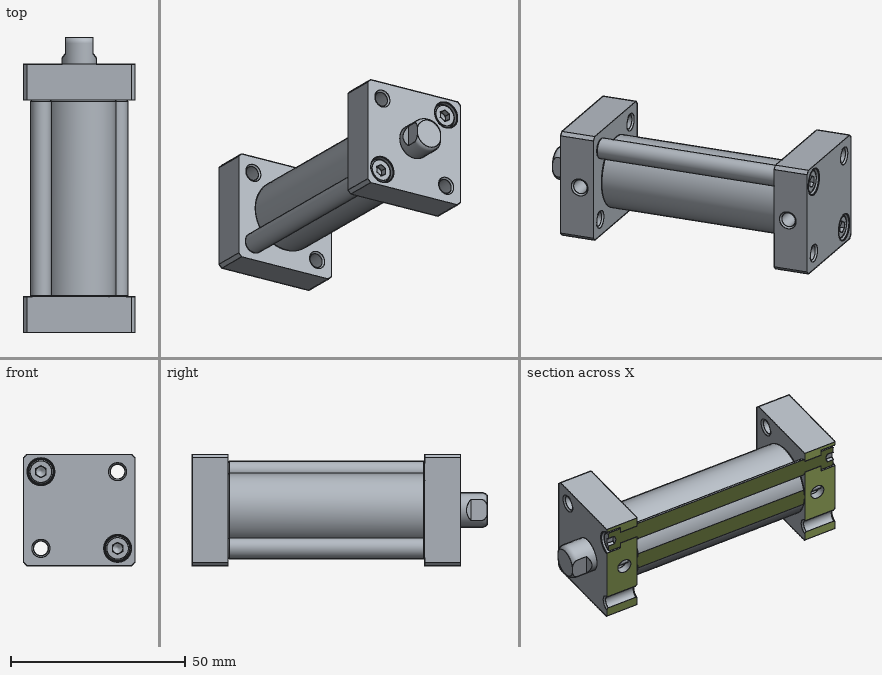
import cadquery as cq
import math

overall_length = 84.66
cap_size = 32.0
cap_thickness = 10.3
cap_corner_chamfer = 1.0

rod_diameter = 10.0
rod_flat_width = 8.0
rod_flat_start = 3.0
rod_flat_runout = 1.3
rod_straight_length = 6.0
rod_nose_length = 1.66
rod_nose_radius = 2.0

front_face = 0.0
barrel_start = front_face + cap_thickness
rear_face = overall_length - rod_straight_length - rod_nose_length
barrel_end = rear_face - cap_thickness

barrel_diameter = 21.2
shoulder_chamfer = 0.35

corner_offset = 11.0
tie_rod_places = [(-corner_offset, corner_offset), (corner_offset, -corner_offset)]
mounting_hole_places = [(-corner_offset, -corner_offset), (corner_offset, corner_offset)]

tie_diameter = 6.0
tie_neck_diameter = 4.0
head_diameter = 7.0
head_height = 4.0
head_recess = 0.6
head_edge_chamfer = 0.4
socket_width = 3.0
socket_corner_diameter = socket_width / math.cos(math.pi / 6)
socket_depth = 2.0
hexagon_turn = 30.0
drill_point_angle = 118.0

counterbore_diameter = 7.6
counterbore_depth = head_height + head_recess
counterbore_mouth_chamfer = 0.2

thread_hole_diameter = 4.2
thread_mouth_diameter = 5.2
thread_mouth_depth = (thread_mouth_diameter - thread_hole_diameter) / 2
port_from_outer_face = 6.0
port_depth = 8.0

pin_diameter = 1.8
pin_x = -cap_size / 2 + port_depth
pin_seat = 1.0
pin_end_margin = port_from_outer_face - thread_hole_diameter / 2 - pin_seat
pin_start = front_face + pin_end_margin
pin_end = rear_face - pin_end_margin


def along_y(start):
    """Workplane at the given Y facing +Y; its local axes are +X and -Z."""
    return cq.Workplane(cq.Plane(origin=(0, start, 0), xDir=(1, 0, 0), normal=(0, 1, 0)))


def cylinder_y(x, z, diameter, start, end):
    return along_y(start).center(x, -z).circle(diameter / 2).extrude(end - start)


def cone(base_centre, direction, base_diameter, tip_diameter, height):
    solid = cq.Solid.makeCone(
        base_diameter / 2, tip_diameter / 2, height, cq.Vector(*base_centre), cq.Vector(*direction)
    )
    return cq.Workplane(solid)


def drill_point(base_centre, direction, diameter):
    length = diameter / 2 / math.tan(math.radians(drill_point_angle / 2))
    return cone(base_centre, direction, diameter, 0, length)


def thread_mouth(centre, direction):
    return cone(centre, direction, thread_mouth_diameter, thread_hole_diameter, thread_mouth_depth)


def make_port(y):
    """Cutter for a drilled port entering from the -X side."""
    side = -cap_size / 2
    inward = (1, 0, 0)
    bore = (
        cq.Workplane("YZ", origin=(side, y, 0)).circle(thread_hole_diameter / 2).extrude(port_depth)
    )
    point = drill_point((side + port_depth, y, 0), inward, thread_hole_diameter)
    return bore.union(thread_mouth((side, y, 0), inward)).union(point)


def make_mounting_hole(x, z, start, end):
    """Cutter for a through hole countersunk at both ends."""
    hole = cylinder_y(x, z, thread_hole_diameter, start, end)
    hole = hole.union(thread_mouth((x, start, z), (0, 1, 0)))
    return hole.union(thread_mouth((x, end, z), (0, -1, 0)))


def make_tie_rod_hole(x, z, inner, outer, outward):
    """Cutter for a tie rod neck and its counterbored head."""
    seat = outer - outward * counterbore_depth
    mouth_diameter = counterbore_diameter + 2 * counterbore_mouth_chamfer
    neck = cylinder_y(x, z, tie_neck_diameter, inner, outer)
    counterbore = cylinder_y(x, z, counterbore_diameter, seat, outer)
    mouth = cone(
        (x, outer, z), (0, -outward, 0), mouth_diameter, counterbore_diameter, counterbore_mouth_chamfer
    )
    return neck.union(counterbore).union(mouth)


def make_pin():
    return cylinder_y(pin_x, 0, pin_diameter, pin_start, pin_end)


def make_cap(inner, outer, outward):
    """End cap between its barrel side and its outer face; outward is the sign of its outer side."""
    start = min(inner, outer)
    end = max(inner, outer)
    cap = along_y(start).rect(cap_size, cap_size).extrude(cap_thickness)
    cap = cap.edges("|Y").chamfer(cap_corner_chamfer)
    for x, z in mounting_hole_places:
        cap = cap.cut(make_mounting_hole(x, z, start, end))
    for x, z in tie_rod_places:
        cap = cap.cut(make_tie_rod_hole(x, z, inner, outer, outward))
    cap = cap.cut(make_port(outer - outward * port_from_outer_face))
    return cap.cut(make_pin())


def make_barrel():
    barrel = cylinder_y(0, 0, barrel_diameter, barrel_start, barrel_end)
    barrel = barrel.edges("%CIRCLE").chamfer(shoulder_chamfer)
    return barrel.cut(make_pin())


def make_tie_rod_head(x, z, inner, outer, outward):
    """Neck and socket head at one end of a tie rod."""
    top = outer - outward * head_recess
    seat = top - outward * head_height
    socket_floor = top - outward * socket_depth
    neck = cylinder_y(x, z, tie_neck_diameter, inner, seat)
    head = cylinder_y(x, z, head_diameter, seat, top)
    head = head.faces(">Y" if outward > 0 else "<Y").edges().chamfer(head_edge_chamfer)
    socket = (
        along_y(top).center(x, -z).transformed(rotate=(0, 0, hexagon_turn))
        .polygon(6, socket_corner_diameter).extrude(-outward * socket_depth)
    )
    point = drill_point((x, socket_floor, z), (0, -outward, 0), socket_width)
    return neck.union(head.cut(socket).cut(point))


def make_tie_rod(x, z):
    tie_rod = cylinder_y(x, z, tie_diameter, barrel_start, barrel_end)
    tie_rod = tie_rod.edges("%CIRCLE").chamfer(shoulder_chamfer)
    tie_rod = tie_rod.union(make_tie_rod_head(x, z, barrel_start, front_face, -1))
    return tie_rod.union(make_tie_rod_head(x, z, barrel_end, rear_face, 1))


def make_piston_rod():
    """Rod from the barrel through the rear cap, with a rounded nose and two wrench flats."""
    radius = rod_diameter / 2
    straight_end = rear_face + rod_straight_length
    nose_sweep = math.asin(rod_nose_length / rod_nose_radius)

    def nose_point(angle):
        return (
            radius - rod_nose_radius * (1 - math.cos(angle)),
            straight_end + rod_nose_radius * math.sin(angle),
        )

    rod = (
        cq.Workplane("XY")
        .moveTo(0, barrel_end)
        .lineTo(radius, barrel_end)
        .lineTo(radius, straight_end)
        .threePointArc(nose_point(nose_sweep / 2), nose_point(nose_sweep))
        .lineTo(0, overall_length)
        .close()
        .revolve(360, (0, 0, 0), (0, 1, 0))
    )
    flat_x = rod_flat_width / 2
    flat_y = rear_face + rod_flat_start
    flat_cutter = (
        cq.Workplane("XY")
        .moveTo(flat_x, overall_length)
        .lineTo(flat_x, flat_y)
        .lineTo(radius, flat_y - rod_flat_runout)
        .lineTo(radius, overall_length)
        .close()
        .extrude(radius, both=True)
    )
    return rod.cut(flat_cutter).cut(flat_cutter.mirror("YZ"))


front_cap = make_cap(barrel_start, front_face, -1)
rod_bore = cylinder_y(0, 0, rod_diameter, barrel_end, rear_face)
rod_cap = make_cap(barrel_end, rear_face, 1).cut(rod_bore)
barrel = make_barrel()
piston_rod = make_piston_rod()
pin = make_pin()
tie_rods = [make_tie_rod(x, z) for x, z in tie_rod_places]

result = cq.Compound.makeCompound([
    front_cap.val(),
    rod_cap.val(),
    barrel.val(),
    piston_rod.val(),
    pin.val(),
    *[tie_rod.val() for tie_rod in tie_rods],
])